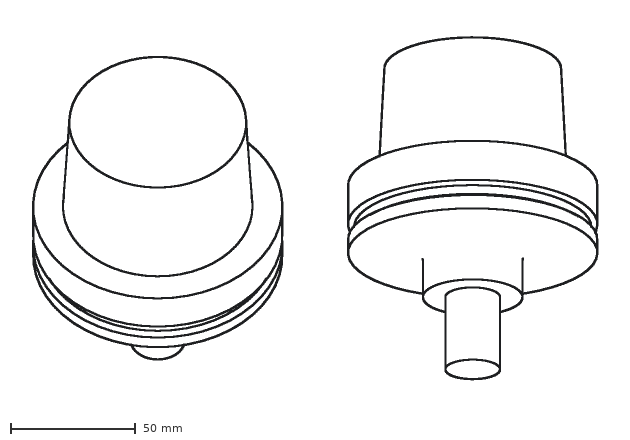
import cadquery as cq
import math

CONE_LENGTH = 50.0
FLANGE_LENGTH = 29.0
COLLAR_LENGTH = 19.0
PIN_LENGTH = 31.0

CONE_BASE_DIAMETER = 76.0
CONE_TAPER = 1 / 10
FLANGE_DIAMETER = 100.0
GROOVE_DIAMETER = 92.0
COLLAR_DIAMETER = 40.0
PIN_DIAMETER = 22.0

GROOVE_CENTER_DEPTH = 20.0
GROOVE_MOUTH_WIDTH = 6.5
GROOVE_SLOT_WIDTH = 3.75
GROOVE_SLOPE_ANGLE = 30.0
GROOVE_FLOOR_FILLET_RADIUS = 0.5

COLLAR_FILLET_RADIUS = 3.0

flange_bottom = -FLANGE_LENGTH
collar_bottom = flange_bottom - COLLAR_LENGTH
pin_bottom = collar_bottom - PIN_LENGTH
cone_base_radius = CONE_BASE_DIAMETER / 2
cone_top_radius = (CONE_BASE_DIAMETER - CONE_TAPER * CONE_LENGTH) / 2
flange_radius = FLANGE_DIAMETER / 2
collar_radius = COLLAR_DIAMETER / 2


def cylinder(diameter, bottom, top):
    """Round body on the Z axis between two levels."""
    return cq.Workplane("XY").workplane(offset=bottom).circle(diameter / 2).extrude(top - bottom)


def revolve_profile(profile):
    """Turn a closed (radius, height) profile around the Z axis."""
    return profile.close().revolve(360, (0, 0, 0), (0, 1, 0))


def make_cone():
    """Tapered shank standing on the flange."""
    return revolve_profile(
        cq.Workplane("XZ")
        .lineTo(cone_base_radius, 0)
        .lineTo(cone_top_radius, CONE_LENGTH)
        .lineTo(0, CONE_LENGTH)
    )


def make_groove():
    """Ring cut from the flange's rim: sloping sides, then a narrow slot with rounded floor corners."""
    floor_radius = GROOVE_DIAMETER / 2
    mouth_half = GROOVE_MOUTH_WIDTH / 2
    slot_half = GROOVE_SLOT_WIDTH / 2
    slope_depth = (mouth_half - slot_half) / math.tan(math.radians(GROOVE_SLOPE_ANGLE))
    slot_mouth_radius = flange_radius - slope_depth
    wall_end_radius = floor_radius + GROOVE_FLOOR_FILLET_RADIUS
    floor_half = slot_half - GROOVE_FLOOR_FILLET_RADIUS
    return revolve_profile(
        cq.Workplane("XZ", origin=(0, 0, -GROOVE_CENTER_DEPTH))
        .moveTo(flange_radius, mouth_half)
        .lineTo(slot_mouth_radius, slot_half)
        .lineTo(wall_end_radius, slot_half)
        .radiusArc((floor_radius, floor_half), -GROOVE_FLOOR_FILLET_RADIUS)
        .lineTo(floor_radius, -floor_half)
        .radiusArc((wall_end_radius, -slot_half), -GROOVE_FLOOR_FILLET_RADIUS)
        .lineTo(slot_mouth_radius, -slot_half)
        .lineTo(flange_radius, -mouth_half)
    )


def make_collar_fillet():
    """Concave ring blending the collar into the underside of the flange."""
    return revolve_profile(
        cq.Workplane("XZ")
        .moveTo(collar_radius, flange_bottom)
        .lineTo(collar_radius + COLLAR_FILLET_RADIUS, flange_bottom)
        .radiusArc((collar_radius, flange_bottom - COLLAR_FILLET_RADIUS), -COLLAR_FILLET_RADIUS)
    )


flange = cylinder(FLANGE_DIAMETER, flange_bottom, 0).cut(make_groove())
collar = cylinder(COLLAR_DIAMETER, collar_bottom, flange_bottom)
pin = cylinder(PIN_DIAMETER, pin_bottom, collar_bottom)

result = flange.union(make_cone()).union(collar).union(make_collar_fillet()).union(pin)